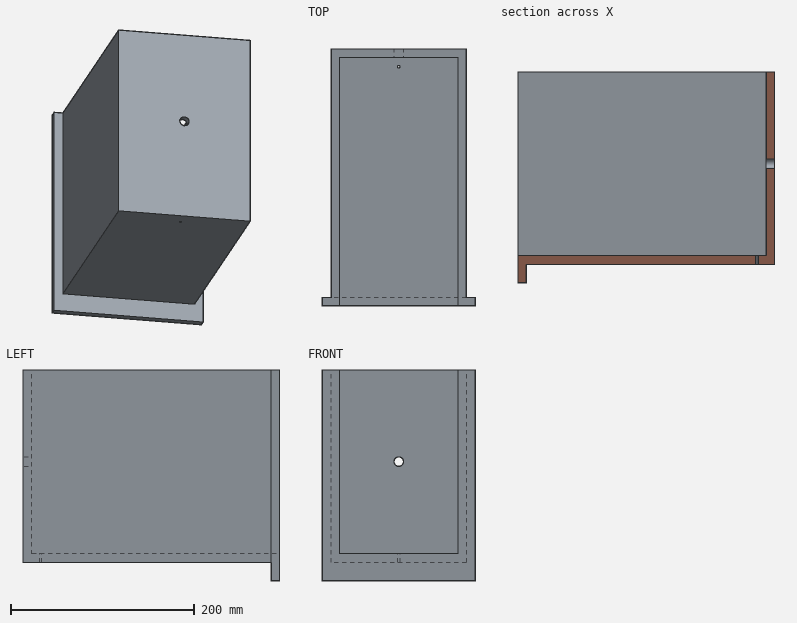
import cadquery as cq

length = 280.0
height = 230.0
flange_width = 167.0

wall = 9.2
floor_thickness = 10.0
flange_thickness = 9.2
flange_overhang = 9.8
flange_drop = 20.0

back_hole_diameter = 10.0
back_hole_height = 130.0
floor_hole_diameter = 2.5
floor_hole_from_back = 19.3

body_width = flange_width - 2 * flange_overhang
channel_width = body_width - 2 * wall
floor_top = flange_drop + floor_thickness


def block(width, y_start, y_end, z_start, z_end):
    """Box centred on X = 0, given by its Y and Z limits."""
    return cq.Workplane("XY").box(
        width, y_end - y_start, z_end - z_start, centered=(True, False, False)
    ).translate((0, y_start, z_start))


body = block(body_width, 0, length, flange_drop, height)
flange = block(flange_width, 0, flange_thickness, 0, height)

channel = block(channel_width, 0, length - wall, floor_top, height)

back_hole = cq.Workplane("XY").circle(back_hole_diameter / 2).extrude(2 * wall)
back_hole = back_hole.rotate((0, 0, 0), (1, 0, 0), -90)
back_hole = back_hole.translate((0, length - 1.5 * wall, back_hole_height))

floor_hole = (
    cq.Workplane("XY")
    .center(0, length - floor_hole_from_back)
    .circle(floor_hole_diameter / 2)
    .extrude(2 * floor_top)
)

result = body.union(flange).cut(channel).cut(back_hole).cut(floor_hole)